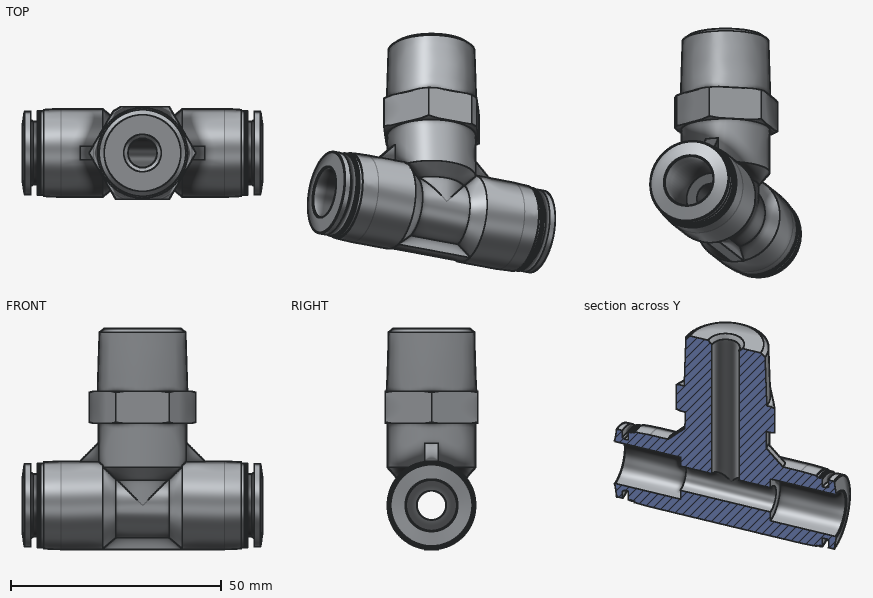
import cadquery as cq
import math


body_radius = 10.5
waist_radius = 7.85
run_cone_start = 6.3
run_shoulder = 9.5
branch_cone_start = 5.95
branch_shoulder = 9.0
crown_start = 19.45
crown_end = 23.45
crown_end_radius = 10.3

cap_radius = 10.05
cap_face_radius = 9.85
cap_inner = 24.16
groove_outer = 24.47
cap_rim = 24.85
cap_outer = 25.05
sleeve_radius = 7.5
sleeve_flare_start = 26.0
sleeve_flare_radius = 7.85
collar_radius = 9.9
collar_inner = 26.5
collar_edge = 27.95
collar_face_start = 28.1
collar_face_radius = 9.65
run_end = 28.6
socket_radius = 6.0
socket_depth = 17.0
socket_chamfer = 0.25

hex_flats = 22.0
hex_bottom = 19.45
hex_top = 27.1
hex_chamfer_radius = 11.7
hex_chamfer_height = 0.3
hex_cut_distance = 12.1
hex_cut_angle = 120.0
thread_taper = 1 / 16
thread_end = 42.0
thread_end_radius = 9.1
thread_chamfer_height = 0.9
thread_tip_radius = 10.27

bore_radius = 6.9 / 2
bore_chamfer = 1.0

web_thickness = 3.1
gusset_leg = 4.3


def run_half():
    """+X half of the run: waist, body, end cap and release collar, revolved about X."""
    crown_length = crown_end - crown_start
    crown_drop = body_radius - crown_end_radius
    crown_middle = (crown_start + crown_length / 2, body_radius - crown_drop / 4)
    profile = (
        cq.Workplane("XY")
        .moveTo(0, 0)
        .lineTo(0, waist_radius)
        .lineTo(run_cone_start, waist_radius)
        .lineTo(run_shoulder, body_radius)
        .lineTo(crown_start, body_radius)
        .threePointArc(crown_middle, (crown_end, crown_end_radius))
        .lineTo(crown_end, cap_radius)
        .lineTo(cap_inner, cap_radius)
        .lineTo(cap_inner, cap_face_radius)
        .lineTo(groove_outer, cap_face_radius)
        .lineTo(groove_outer, cap_radius)
        .lineTo(cap_rim, cap_radius)
        .lineTo(cap_outer, cap_face_radius)
        .lineTo(cap_outer, sleeve_radius)
        .lineTo(sleeve_flare_start, sleeve_radius)
        .lineTo(collar_inner, sleeve_flare_radius)
        .lineTo(collar_inner, collar_radius)
        .lineTo(collar_edge, collar_radius)
        .lineTo(collar_face_start, collar_face_radius)
        .lineTo(run_end, socket_radius + socket_chamfer)
        .lineTo(run_end, 0)
        .close()
    )
    return profile.revolve(360, (0, 0, 0), (1, 0, 0))


def branch():
    """Waist, neck and tapered thread, revolved about Z."""
    chamfer_bottom = thread_end - thread_chamfer_height
    thread_base_radius = thread_tip_radius + (chamfer_bottom - hex_top) * thread_taper / 2
    profile = (
        cq.Workplane("XZ")
        .moveTo(0, 0)
        .lineTo(waist_radius, 0)
        .lineTo(waist_radius, branch_cone_start)
        .lineTo(body_radius, branch_shoulder)
        .lineTo(body_radius, hex_top)
        .lineTo(thread_base_radius, hex_top)
        .lineTo(thread_tip_radius, chamfer_bottom)
        .lineTo(thread_end_radius, thread_end)
        .lineTo(0, thread_end)
        .close()
    )
    return profile.revolve(360, (0, 0, 0), (0, 1, 0))


def hexagon():
    """Wrench hexagon with flats facing +Y and -Y, chamfered at both ends, with a flat on one corner."""
    corner_radius = hex_flats / math.sqrt(3)
    prism = (
        cq.Workplane("XY")
        .workplane(offset=hex_bottom)
        .polygon(6, 2 * corner_radius)
        .extrude(hex_top - hex_bottom)
    )
    envelope = (
        cq.Workplane("XZ")
        .moveTo(0, hex_bottom)
        .lineTo(hex_chamfer_radius, hex_bottom)
        .lineTo(corner_radius, hex_bottom + hex_chamfer_height)
        .lineTo(corner_radius, hex_top - hex_chamfer_height)
        .lineTo(hex_chamfer_radius, hex_top)
        .lineTo(0, hex_top)
        .close()
        .revolve(360, (0, 0, 0), (0, 1, 0))
    )
    corner_cut = (
        cq.Workplane("XY")
        .box(corner_radius, corner_radius, hex_top, centered=(False, True, False))
        .translate((hex_cut_distance, 0, 0))
        .rotate((0, 0, 0), (0, 0, 1), hex_cut_angle)
    )
    return prism.intersect(envelope).cut(corner_cut)


def gussets():
    """Triangular webs on both sides of the branch, standing on the run."""
    reach = body_radius + gusset_leg
    return (
        cq.Workplane("XZ")
        .moveTo(-reach, body_radius)
        .lineTo(-body_radius, reach)
        .lineTo(body_radius, reach)
        .lineTo(reach, body_radius)
        .lineTo(reach, waist_radius)
        .lineTo(-reach, waist_radius)
        .close()
        .extrude(web_thickness / 2, both=True)
    )


def bottom_web():
    """Flat web bridging the two body halves below the waist."""
    return (
        cq.Workplane("XY")
        .workplane(offset=-body_radius)
        .rect(2 * run_shoulder, web_thickness)
        .extrude(body_radius)
    )


def tube_socket():
    """Stepped socket cut from the +X end of the run, with a chamfered mouth."""
    return (
        cq.Workplane("XY")
        .moveTo(run_end - socket_depth, 0)
        .lineTo(run_end - socket_depth, socket_radius)
        .lineTo(run_end - socket_chamfer, socket_radius)
        .lineTo(run_end, socket_radius + socket_chamfer)
        .lineTo(run_end, 0)
        .close()
        .revolve(360, (0, 0, 0), (1, 0, 0))
    )


def run_bore():
    return cq.Workplane("YZ").circle(bore_radius).extrude(run_end, both=True)


def branch_bore():
    """Bore from the thread end down to the run bore, countersunk at the thread end."""
    countersink = (
        cq.Workplane("XZ")
        .moveTo(0, thread_end - bore_chamfer)
        .lineTo(bore_radius, thread_end - bore_chamfer)
        .lineTo(bore_radius + bore_chamfer, thread_end)
        .lineTo(0, thread_end)
        .close()
        .revolve(360, (0, 0, 0), (0, 1, 0))
    )
    bore = cq.Workplane("XY").circle(bore_radius).extrude(thread_end)
    return bore.union(countersink)


def both_ends(half):
    return half.union(half.mirror("YZ"))


solid = both_ends(run_half()).union(branch()).union(hexagon())
solid = solid.union(gussets()).union(bottom_web())
result = solid.cut(both_ends(tube_socket())).cut(run_bore()).cut(branch_bore())